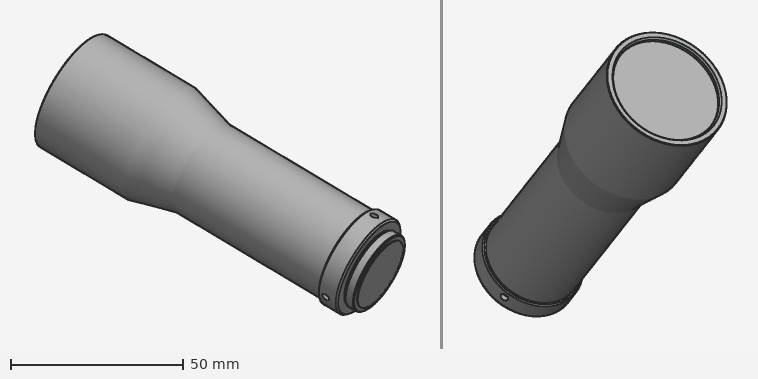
import cadquery as cq
import math

total_length = 110.7
barrel_end = 31.8
taper_end = 46.7
collar_start = 99.7
collar_end = 106.7
flange_start = 107.4
flange_end = 110.3

barrel_diameter = 38.0
barrel_radius = barrel_diameter / 2
tube_radius = 14.9
collar_radius = 15.9
neck_radius = 12.5
flange_radius = 12.8
tip_radius = 11.2

barrel_front_chamfer = 0.2
collar_front_chamfer = 0.4
collar_rear_chamfer = 0.5
flange_chamfer = 0.3

recess_radius = 16.7
recess_depth = 1.5
mouth_bevel = 0.5

screw_count = 3
screw_radius = 1.2
screw_depth = 1.7
screw_x = 102.6
first_screw_angle = 180.0


def turned(points):
    """Revolve an outline of (x, radius) points about the X axis."""
    return cq.Workplane("XY").polyline(points).close().revolve(360, (0, 0, 0), (1, 0, 0))


def make_body():
    return turned([
        (0, 0),
        (0, barrel_radius - barrel_front_chamfer),
        (barrel_front_chamfer, barrel_radius),
        (barrel_end, barrel_radius),
        (taper_end, tube_radius),
        (collar_start, tube_radius),
        (collar_start, collar_radius - collar_front_chamfer),
        (collar_start + collar_front_chamfer, collar_radius),
        (collar_end - collar_rear_chamfer, collar_radius),
        (collar_end, collar_radius - collar_rear_chamfer),
        (collar_end, neck_radius),
        (flange_start, neck_radius),
        (flange_start, flange_radius),
        (flange_end - flange_chamfer, flange_radius),
        (flange_end, flange_radius - flange_chamfer),
        (flange_end, tip_radius),
        (total_length, tip_radius),
        (total_length, 0),
    ])


def make_front_recess():
    return turned([
        (0, 0),
        (0, recess_radius + mouth_bevel),
        (mouth_bevel, recess_radius),
        (recess_depth, recess_radius),
        (recess_depth, 0),
    ])


def make_screw_hole(angle):
    direction = cq.Vector(0, math.cos(math.radians(angle)), math.sin(math.radians(angle)))
    start = cq.Vector(screw_x, 0, 0) + direction * (collar_radius - screw_depth)
    length = screw_depth + screw_radius
    return cq.Workplane(cq.Solid.makeCylinder(screw_radius, length, start, direction))


result = make_body().cut(make_front_recess())
for index in range(screw_count):
    result = result.cut(make_screw_hole(first_screw_angle + index * 360 / screw_count))